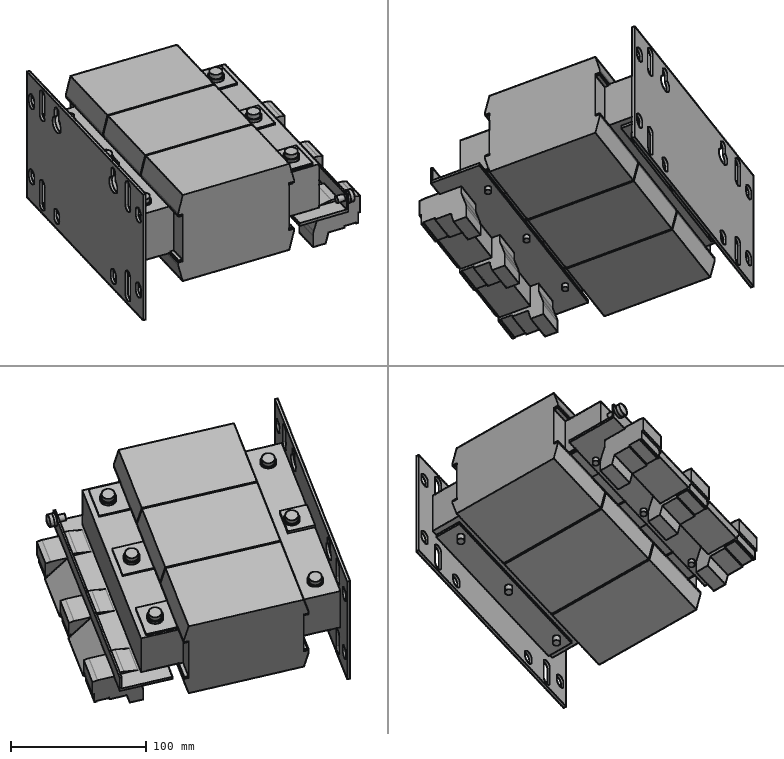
import cadquery as cq


PLATE_WIDTH = 185.0
PLATE_HEIGHT = 112.0
PLATE_THICKNESS = 2.3
OVAL_WIDTH = 8.1
OVAL_LENGTH = 12.4
LONG_SLOT_WIDTH = 7.5
LONG_SLOT_LENGTH = 26.3
OUTER_OVAL_X = 85.0
LONG_SLOT_X = 68.0
KEYHOLE_X = 45.0
OUTER_OVAL_Z = 33.5
LONG_SLOT_Z = 39.8
LOWER_OVAL_Z = -45.0
KEYHOLE_CIRCLE_Z = 36.5
KEYHOLE_CIRCLE_DIAMETER = 13.0
KEYHOLE_NECK_WIDTH = 6.5
KEYHOLE_TOP_Z = 51.5

PITCH = 60.0
PHASES = (-PITCH, 0, PITCH)
MID_Z = 4.6
CORE_WIDTH = 150.0
YOKE_DEPTH = 29.5
LEG_WIDTH = CORE_WIDTH - 2 * PITCH
NEAR_YOKE_HEIGHT = 41.5
FAR_YOKE_HEIGHT = 38.9
FAR_YOKE_END_Y = 156.5
COIL_WIDTH = 58.8
COIL_HEIGHT = 76.8
COIL_START_Y = 34.8
COIL_END_Y = 124.0
FLARE = 3.9
LEDGE_INSET = 0.8
LIP_HEIGHT = 2.1
SPACER_START_Y = 121.9

TAB_WIDTH = 26.7
TAB_END_Y = 152.0

TONGUE_WIDTH = 20.7
TONGUE_END_Y = 23.5
TONGUE_THICKNESS = 2.5

NEAR_BOLT_Y = 17.2
FAR_BOLT_Y = 141.0
BOLT_WASHER_DIAMETER = 12.2
BOLT_HEAD_DIAMETER = 9.9
BOLT_HEAD_HEIGHT = 3.9
NEAR_WASHER_THICKNESS = 0.8
FAR_WASHER_THICKNESS = 2.3
NEAR_STUD_DIAMETER = 5.6
FAR_STUD_DIAMETER = 4.8
NEAR_STUD_END_Z = -24.4
FAR_STUD_END_Z = -22.6

BRACKET_WIDTH = 169.5
BRACKET_START_Y = 135.0
BRACKET_END_Y = 175.8
BRACKET_THICKNESS = 2.5
FLANGE_THICKNESS = 1.5
FLANGE_TOP_Z = -3.5

SCREW_X = 80.0
SCREW_Z = -8.3
SCREW_HEAD_DIAMETER = 9.7
SCREW_WASHER_DIAMETER = 10.0
SCREW_WASHER_THICKNESS = 2.0
SCREW_HEAD_HEIGHT = 3.0
SCREW_DOME_HEIGHT = 1.5
SCREW_SHANK_DIAMETER = 5.5
SCREW_SHANK_END_Y = 168.3

TERMINAL_WIDTH = 22.2
TERMINAL_TOP_Z = -17.2
TERMINAL_TOP_EDGE_Y = 189.0
TERMINAL_TOP_EDGE_Z = -18.0
TERMINAL_FRONT_Y = 192.8
TERMINAL_FRONT_STEP_Y = 191.3
TERMINAL_FRONT_STEP_Z = -32.5
TERMINAL_TOE_Y = 189.5
TERMINAL_TOE_Z = -41.5
TERMINAL_UNDERSIDE_STEP_Y = 179.7
TERMINAL_UNDERSIDE_FRONT_Z = -40.8
TERMINAL_UNDERSIDE_BACK_Z = -42.4
TERMINAL_FOOT_Z = -51.5
TERMINAL_FOOT_FRONT_Y = 164.0
TERMINAL_FOOT_ROOT_Y = 166.3
TERMINAL_BACK_Y = 153.4
TERMINAL_SHOULDER_Y = 157.5
TERMINAL_SHOULDER_Z = -26.0
TERMINAL_BEND_Y = 154.0
TERMINAL_BEND_TOP_Z = -37.3
TERMINAL_BEND_BOTTOM_Z = -41.2
CROWN_TOP_Z = -14.1
CROWN_BACK_Z = -16.2
CROWN_FRONT_Y = 174.9
CROWN_RIDGE_Y = 168.7
BRIDGE_TIP_Y = 193.5
BRIDGE_TIP_Z = -35.4
BRIDGE_BOTTOM_Z = -38.5
BRIDGE_BACK_Y = 164.5

near_yoke_end_y = PLATE_THICKNESS + YOKE_DEPTH
far_yoke_start_y = FAR_YOKE_END_Y - YOKE_DEPTH
near_yoke_top_z = MID_Z + NEAR_YOKE_HEIGHT / 2
core_bottom_z = MID_Z - NEAR_YOKE_HEIGHT / 2
bracket_bottom_z = core_bottom_z - BRACKET_THICKNESS


def block(width, y_range, z_range, x=0):
    """Box centred on x, between two Y values and two Z values."""
    y0, y1 = y_range
    z0, z1 = z_range
    return cq.Workplane("XY").box(width, y1 - y0, z1 - z0).translate((x, (y0 + y1) / 2, (z0 + z1) / 2))


def upright_cylinder(x, y, diameter, z0, z1):
    return cq.Workplane("XY", origin=(x, y, z0)).circle(diameter / 2).extrude(z1 - z0)


def cylinder_along_y(x, z, diameter, y0, y1):
    return cq.Workplane("XZ", origin=(x, y0, z)).circle(diameter / 2).extrude(y0 - y1)


def side_prism(profile, width, x):
    """Extrude a closed YZ sketch symmetrically about x."""
    return profile.extrude(width / 2, both=True).translate((x, 0, 0))


def mirrored(x, z):
    """The point and its mirror image across the middle of the plate."""
    return [(-x, z), (x, z)]


def cut_slots(plate, length, width, centres):
    """Cut upright round-ended slots through the plate."""
    slots = cq.Workplane("XZ").pushPoints(centres).slot2D(length, width, 90)
    return plate.cut(slots.extrude(-PLATE_THICKNESS))


def mounting_plate():
    half_height = PLATE_HEIGHT / 2
    plate = block(PLATE_WIDTH, (0, PLATE_THICKNESS), (-half_height, half_height))

    outer_ovals = mirrored(OUTER_OVAL_X, -OUTER_OVAL_Z) + mirrored(OUTER_OVAL_X, OUTER_OVAL_Z)
    long_slots = mirrored(LONG_SLOT_X, -LONG_SLOT_Z) + mirrored(LONG_SLOT_X, LONG_SLOT_Z)
    lower_ovals = mirrored(KEYHOLE_X, LOWER_OVAL_Z)
    plate = cut_slots(plate, OVAL_LENGTH, OVAL_WIDTH, outer_ovals + lower_ovals)
    plate = cut_slots(plate, LONG_SLOT_LENGTH, LONG_SLOT_WIDTH, long_slots)

    neck_length = KEYHOLE_TOP_Z - KEYHOLE_CIRCLE_Z
    neck_z = KEYHOLE_CIRCLE_Z + neck_length / 2
    plate = cut_slots(plate, neck_length, KEYHOLE_NECK_WIDTH, mirrored(KEYHOLE_X, neck_z))
    for x, z in mirrored(KEYHOLE_X, KEYHOLE_CIRCLE_Z):
        entry = cylinder_along_y(x, z, KEYHOLE_CIRCLE_DIAMETER, 0, PLATE_THICKNESS)
        plate = plate.cut(entry)
    return plate


def core():
    near_half = NEAR_YOKE_HEIGHT / 2
    far_half = FAR_YOKE_HEIGHT / 2
    near_z = (MID_Z - near_half, MID_Z + near_half)
    far_z = (MID_Z - far_half, MID_Z + far_half)
    body = block(CORE_WIDTH, (PLATE_THICKNESS, near_yoke_end_y), near_z)
    body = body.union(block(CORE_WIDTH, (far_yoke_start_y, FAR_YOKE_END_Y), far_z))
    for x in PHASES:
        body = body.union(block(LEG_WIDTH, (near_yoke_end_y, far_yoke_start_y), far_z, x))
        body = body.union(block(TAB_WIDTH, (COIL_END_Y, TAB_END_Y), near_z, x))
    for x in (-PITCH / 2, PITCH / 2):
        body = body.union(block(PITCH - COIL_WIDTH, (SPACER_START_Y, far_yoke_start_y), far_z, x))
    return body


def coil(x):
    """Coil with sloped end flares above and below the yokes."""
    top = COIL_HEIGHT / 2
    lip = NEAR_YOKE_HEIGHT / 2
    upper_end = [(0, lip), (FLARE, lip), (FLARE, lip + LIP_HEIGHT), (0, top)]
    end = [(out, -up) for out, up in reversed(upper_end)] + upper_end
    near_end = [(COIL_START_Y - out, MID_Z + up) for out, up in end]
    far_end = [(COIL_END_Y + out, MID_Z + up) for out, up in reversed(end)]
    profile = cq.Workplane("YZ").polyline(near_end + far_end).close()
    body = side_prism(profile, COIL_WIDTH, x)

    ledge_width = COIL_WIDTH - 2 * LEDGE_INSET
    ledge_reach = FLARE - LEDGE_INSET
    ledge_y = (COIL_START_Y - ledge_reach, COIL_END_Y + ledge_reach)
    recess = FAR_YOKE_HEIGHT / 2
    for z_range in ((MID_Z - lip, MID_Z - recess), (MID_Z + recess, MID_Z + lip)):
        body = body.union(block(ledge_width, ledge_y, z_range, x))
    return body


def fixing_tongues():
    """Tongue above the near yoke for the middle bolt, and one below it spanning all three bolts."""
    y_range = (PLATE_THICKNESS, TONGUE_END_Y)
    upper = block(TONGUE_WIDTH, y_range, (near_yoke_top_z, near_yoke_top_z + TONGUE_THICKNESS))
    lower = block(2 * PITCH + TONGUE_WIDTH, y_range, (core_bottom_z - TONGUE_THICKNESS, core_bottom_z))
    return upper.union(lower)


def core_bolt(x, y, seat_z, washer_thickness, stud_diameter, stud_end_z):
    head_z = seat_z + washer_thickness
    washer = upright_cylinder(x, y, BOLT_WASHER_DIAMETER, seat_z, head_z)
    head = upright_cylinder(x, y, BOLT_HEAD_DIAMETER, head_z, head_z + BOLT_HEAD_HEIGHT)
    stud = upright_cylinder(x, y, stud_diameter, stud_end_z, seat_z)
    return washer.union(head).union(stud)


def near_bolt(x):
    seat_z = near_yoke_top_z
    if x == 0:
        seat_z += TONGUE_THICKNESS
    return core_bolt(x, NEAR_BOLT_Y, seat_z, NEAR_WASHER_THICKNESS, NEAR_STUD_DIAMETER, NEAR_STUD_END_Z)


def far_bolt(x):
    return core_bolt(
        x, FAR_BOLT_Y, near_yoke_top_z, FAR_WASHER_THICKNESS, FAR_STUD_DIAMETER, FAR_STUD_END_Z
    )


def angle_bracket():
    base = block(BRACKET_WIDTH, (BRACKET_START_Y, BRACKET_END_Y), (bracket_bottom_z, core_bottom_z))
    flange_y = (BRACKET_END_Y - FLANGE_THICKNESS, BRACKET_END_Y)
    return base.union(block(BRACKET_WIDTH, flange_y, (bracket_bottom_z, FLANGE_TOP_Z)))


def earth_screw():
    """Domed screw revolved about its own axis along Y."""
    washer_end = BRACKET_END_Y + SCREW_WASHER_THICKNESS
    rim_end = washer_end + SCREW_HEAD_HEIGHT
    dome = (
        cq.Workplane("XY")
        .moveTo(0, washer_end)
        .lineTo(SCREW_HEAD_DIAMETER / 2, washer_end)
        .lineTo(SCREW_HEAD_DIAMETER / 2, rim_end)
        .spline([(0, rim_end + SCREW_DOME_HEIGHT)], tangents=[(-1, 1), (-1, 0)], includeCurrent=True)
        .close()
        .revolve(360, (0, 0, 0), (0, 1, 0))
        .translate((SCREW_X, 0, SCREW_Z))
    )
    washer = cylinder_along_y(SCREW_X, SCREW_Z, SCREW_WASHER_DIAMETER, BRACKET_END_Y, washer_end)
    shank = cylinder_along_y(SCREW_X, SCREW_Z, SCREW_SHANK_DIAMETER, SCREW_SHANK_END_Y, BRACKET_END_Y)
    return dome.union(washer).union(shank)


def terminal_block(x):
    """Terminal housing whose crown stands through the bracket base."""
    profile = (
        cq.Workplane("YZ")
        .moveTo(CROWN_FRONT_Y, CROWN_TOP_Z)
        .lineTo(CROWN_RIDGE_Y, CROWN_TOP_Z)
        .lineTo(TERMINAL_SHOULDER_Y, CROWN_BACK_Z)
        .lineTo(TERMINAL_SHOULDER_Y, TERMINAL_SHOULDER_Z)
        .lineTo(TERMINAL_BEND_Y, TERMINAL_BEND_TOP_Z)
        .tangentArcPoint((TERMINAL_BACK_Y, TERMINAL_BEND_BOTTOM_Z), relative=False)
        .lineTo(TERMINAL_BACK_Y, TERMINAL_FOOT_Z)
        .lineTo(TERMINAL_FOOT_FRONT_Y, TERMINAL_FOOT_Z)
        .lineTo(TERMINAL_FOOT_ROOT_Y, TERMINAL_UNDERSIDE_BACK_Z)
        .lineTo(TERMINAL_UNDERSIDE_STEP_Y, TERMINAL_UNDERSIDE_BACK_Z)
        .lineTo(TERMINAL_UNDERSIDE_STEP_Y, TERMINAL_UNDERSIDE_FRONT_Z)
        .lineTo(TERMINAL_TOE_Y, TERMINAL_UNDERSIDE_FRONT_Z)
        .lineTo(TERMINAL_TOE_Y, TERMINAL_TOE_Z)
        .lineTo(TERMINAL_FRONT_STEP_Y, TERMINAL_TOE_Z)
        .lineTo(TERMINAL_FRONT_STEP_Y, TERMINAL_FRONT_STEP_Z)
        .lineTo(TERMINAL_FRONT_Y, TERMINAL_FRONT_STEP_Z)
        .lineTo(TERMINAL_FRONT_Y, TERMINAL_TOP_EDGE_Z)
        .lineTo(TERMINAL_TOP_EDGE_Y, TERMINAL_TOP_Z)
        .lineTo(CROWN_FRONT_Y, TERMINAL_TOP_Z)
        .close()
    )
    return side_prism(profile, TERMINAL_WIDTH, x)


def terminal_bridge(x):
    """Wedge between neighbouring terminal blocks, with 45 degree flanks meeting at its tip."""
    lower_flank = BRIDGE_TIP_Z - BRIDGE_BOTTOM_Z
    upper_flank = BRIDGE_TIP_Y - BRACKET_END_Y
    points = [
        (BRIDGE_BACK_Y, BRIDGE_BOTTOM_Z),
        (BRIDGE_TIP_Y - lower_flank, BRIDGE_BOTTOM_Z),
        (BRIDGE_TIP_Y, BRIDGE_TIP_Z),
        (BRACKET_END_Y, BRIDGE_TIP_Z + upper_flank),
        (BRIDGE_BACK_Y, bracket_bottom_z),
    ]
    profile = cq.Workplane("YZ").polyline(points).close()
    return side_prism(profile, PITCH - TERMINAL_WIDTH, x)


result = mounting_plate().union(core()).union(fixing_tongues()).union(angle_bracket()).union(earth_screw())
for phase_x in PHASES:
    result = result.union(coil(phase_x)).union(near_bolt(phase_x)).union(far_bolt(phase_x))
    result = result.union(terminal_block(phase_x))
for gap_x in (-PITCH / 2, PITCH / 2):
    result = result.union(terminal_bridge(gap_x))